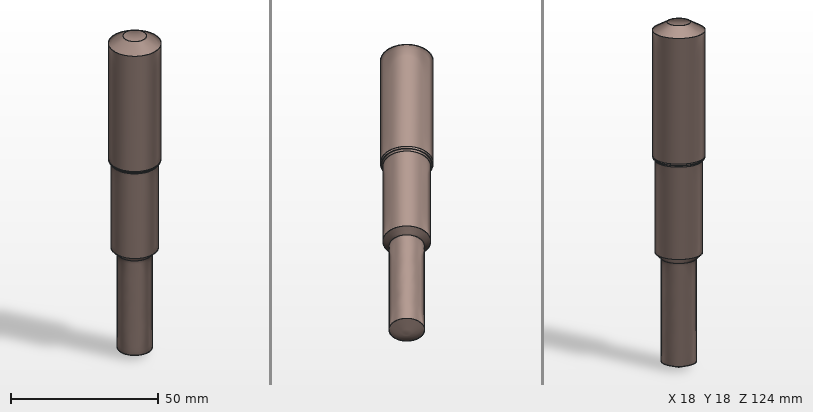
import cadquery as cq
import math

overall_length = 124.0

head_diameter = 18.0
head_length = 48.7
crown_flat_diameter = 8.0
crown_angle = 30.0
head_end_diameter = 17.5
head_end_angle = 70.0

collar_diameter = 17.1
collar_angle = 60.0
neck_diameter = 16.3
nose_end_depth = 84.7
nose_angle = 45.0
pin_root_diameter = 12.0
pin_end_diameter = 12.1
point_angle = 138.0

head_radius = head_diameter / 2
crown_flat_radius = crown_flat_diameter / 2
head_end_radius = head_end_diameter / 2
collar_radius = collar_diameter / 2
neck_radius = neck_diameter / 2
pin_root_radius = pin_root_diameter / 2
pin_end_radius = pin_end_diameter / 2
top_z = overall_length / 2
joint_z = top_z - head_length
nose_end_z = top_z - nose_end_depth
point_tip_z = -top_z


def taper_height(outer_radius, inner_radius, slope):
    """Axial height of a cone between two radii, with its slope measured from horizontal."""
    return (outer_radius - inner_radius) * math.tan(math.radians(slope))


def revolve_profile(points):
    """Revolve a closed (radius, height) outline about the Z axis."""
    return cq.Workplane("XZ").polyline(points).close().revolve(360, (0, 0), (0, 1))


def make_head():
    """Upper body, standing on the joint face."""
    crown_base_z = top_z - taper_height(head_radius, crown_flat_radius, crown_angle)
    end_taper_z = joint_z + taper_height(head_radius, head_end_radius, head_end_angle)
    return revolve_profile([
        (0, top_z),
        (crown_flat_radius, top_z),
        (head_radius, crown_base_z),
        (head_radius, end_taper_z),
        (head_end_radius, joint_z),
        (0, joint_z),
    ])


def make_stepped_pin():
    """Lower body, hanging from the joint face down to the tip of the point."""
    neck_top_z = joint_z - taper_height(collar_radius, neck_radius, collar_angle)
    neck_end_z = nose_end_z + taper_height(neck_radius, pin_root_radius, nose_angle)
    point_slope = (180 - point_angle) / 2
    point_base_z = point_tip_z + taper_height(pin_end_radius, 0, point_slope)
    return revolve_profile([
        (0, joint_z),
        (collar_radius, joint_z),
        (neck_radius, neck_top_z),
        (neck_radius, neck_end_z),
        (pin_root_radius, nose_end_z),
        (pin_end_radius, point_base_z),
        (0, point_tip_z),
    ])


head = make_head()
stepped_pin = make_stepped_pin()

result = cq.Compound.makeCompound([head.val(), stepped_pin.val()])